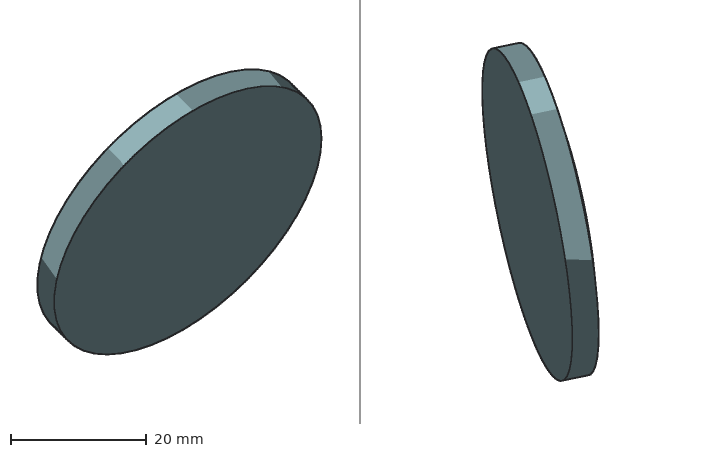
import cadquery as cq

diameter = 50.0
total_thickness = 6.95
rim_thickness = 4.05

radius = diameter / 2
dome_height = total_thickness - rim_thickness

sphere_radius = (radius**2 + dome_height**2) / (2 * dome_height)
sphere_center_x = sphere_radius - dome_height

mid_radius = radius / 2
mid_x = sphere_center_x - (sphere_radius**2 - mid_radius**2) ** 0.5

half_section = (
    cq.Workplane("XY")
    .moveTo(-dome_height, 0)
    .threePointArc((mid_x, mid_radius), (0, radius))
    .lineTo(rim_thickness, radius)
    .lineTo(rim_thickness, 0)
    .close()
)

result = half_section.revolve(360, (0, 0, 0), (1, 0, 0))